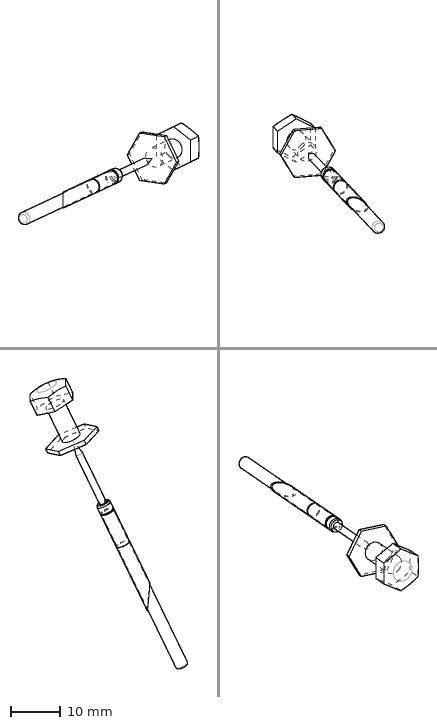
import cadquery as cq
import math


plate_across_flats = 10.0
plate_thickness = 1.0
stem_diameter = 4.0
stem_length = 8.0
head_across_flats = 8.0
head_height = 4.4
crown_height = 1.05
cap_diameter = 4.4
cap_height = 0.3

needle_diameter = 1.5
needle_cone_length = 2.8
needle_length = 14.5

barrel_diameter = 2.65
barrel_end_y = -53.4
barrel_end_round = 0.4
collar_diameter = 3.0
collar_length = 1.95
collar_chamfer_length = 0.4
collar_gap = 0.2

sleeve_diameter = collar_diameter
front_sleeve_length = 7.65
rear_sleeve_short_side = 9.9
rear_sleeve_long_side = 15.2

plate_back_y = plate_thickness
head_underside_y = plate_back_y + stem_length
head_top_y = head_underside_y + head_height
collar_front_y = -needle_length
collar_rear_y = collar_front_y - collar_length
front_sleeve_y = collar_rear_y - collar_gap
rear_sleeve_y = front_sleeve_y - front_sleeve_length


def section(start_y):
    """Sketch plane across the axis: local x = X, local y = Z, extruding toward -Y."""
    return cq.Workplane("XZ", origin=(0, start_y, 0))


def corner_diameter(across_flats):
    """Across-corners size of a hexagon."""
    return across_flats / math.cos(math.pi / 6)


def make_plate():
    """Hexagonal plate with corners toward +X and -X."""
    return section(plate_back_y).polygon(6, corner_diameter(plate_across_flats)).extrude(plate_thickness)


def make_bolt():
    """Round stem with a hexagonal head, corners toward +Z and -Z, topped by a cone and a shallow cap."""
    corner_radius = corner_diameter(head_across_flats) / 2
    cap_radius = cap_diameter / 2
    sphere_radius = (cap_radius**2 + cap_height**2) / (2 * cap_height)
    half_angle = math.asin(cap_radius / sphere_radius) / 2
    mid_radius = sphere_radius * math.sin(half_angle)
    mid_y = head_top_y - sphere_radius * (1 - math.cos(half_angle))
    crown = (
        cq.Workplane("XY")
        .moveTo(0, head_underside_y)
        .lineTo(corner_radius, head_underside_y)
        .lineTo(corner_radius, head_top_y - crown_height)
        .lineTo(cap_radius, head_top_y - cap_height)
        .threePointArc((mid_radius, mid_y), (0, head_top_y))
        .close()
        .revolve(360, (0, 0, 0), (0, 1, 0))
    )
    head = (
        section(head_top_y)
        .transformed(rotate=(0, 0, 90))
        .polygon(6, 2 * corner_radius)
        .extrude(head_height)
        .intersect(crown)
    )
    stem = section(head_underside_y).circle(stem_diameter / 2).extrude(stem_length)
    return head.union(stem)


def make_needle():
    """Pointed pin whose tip touches the plate."""
    radius = needle_diameter / 2
    return (
        cq.Workplane("XY")
        .moveTo(0, 0)
        .lineTo(radius, -needle_cone_length)
        .lineTo(radius, -needle_length)
        .lineTo(0, -needle_length)
        .close()
        .revolve(360, (0, 0, 0), (0, 1, 0))
    )


def make_barrel():
    """Long rod with a collar at its front, chamfered at the front and rounded at the free end."""
    collar_radius = collar_diameter / 2
    barrel_radius = barrel_diameter / 2
    return (
        cq.Workplane("XY")
        .moveTo(0, collar_front_y)
        .lineTo(barrel_radius, collar_front_y)
        .lineTo(collar_radius, collar_front_y - collar_chamfer_length)
        .lineTo(collar_radius, collar_rear_y)
        .lineTo(barrel_radius, collar_rear_y)
        .lineTo(barrel_radius, barrel_end_y)
        .lineTo(0, barrel_end_y)
        .close()
        .revolve(360, (0, 0, 0), (0, 1, 0))
        .faces("<Y")
        .edges()
        .fillet(barrel_end_round)
    )


def make_sleeve(start_y, length):
    """Plain tube fitting closely around the barrel."""
    return section(start_y).circle(sleeve_diameter / 2).circle(barrel_diameter / 2).extrude(length)


def make_rear_sleeve():
    """Tube cut off at a slant, shortest on the -X side."""
    radius = sleeve_diameter / 2
    side_profile = (
        cq.Workplane("XY")
        .moveTo(-radius, rear_sleeve_y)
        .lineTo(radius, rear_sleeve_y)
        .lineTo(radius, rear_sleeve_y - rear_sleeve_long_side)
        .lineTo(-radius, rear_sleeve_y - rear_sleeve_short_side)
        .close()
        .extrude(radius, both=True)
    )
    return make_sleeve(rear_sleeve_y, rear_sleeve_long_side).intersect(side_profile)


plate = make_plate()
bolt = make_bolt()
needle = make_needle()
barrel = make_barrel()
front_sleeve = make_sleeve(front_sleeve_y, front_sleeve_length)
rear_sleeve = make_rear_sleeve()

result = cq.Compound.makeCompound([
    plate.val(),
    bolt.val(),
    needle.val(),
    barrel.val(),
    front_sleeve.val(),
    rear_sleeve.val(),
])